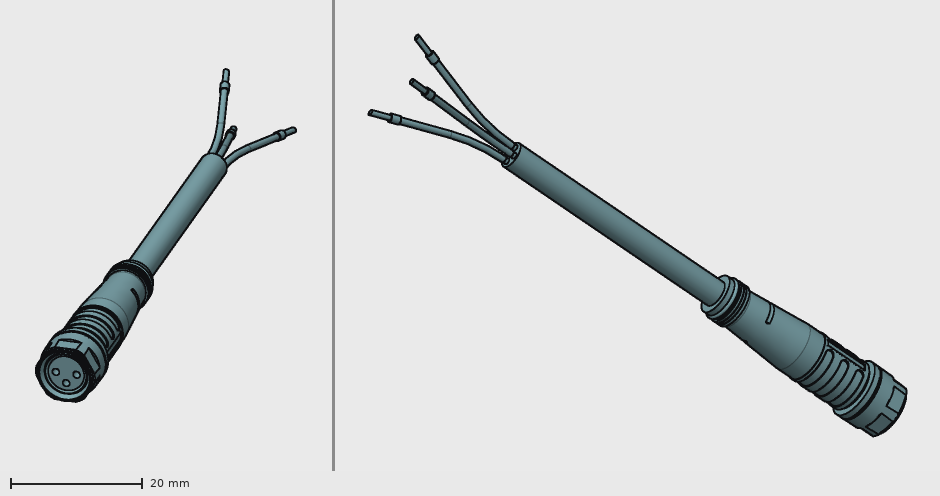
import cadquery as cq
import math

total_length = 100.0

nut_diameter = 9.6
nut_front_diameter = 9.4
nut_length = 6.9
nut_groove_y = 5.5
nut_groove_width = 0.3
nut_groove_diameter = 9.2
lip_diameter = 8.8
lip_length = 0.4
lip_chamfer = 0.2
flat_count = 6
flat_distance = lip_diameter / 2
flat_end = 2.9

mouth_diameter = 8.0
valley_diameter = 6.9
rim_diameter = 6.5
insert_diameter = 5.7
insert_depth = 0.8
rim_depth = 0.6
contact_diameter = 1.1
contact_depth = 2.0
contact_circle_diameter = 3.3
contact_angles = (0, 180, 270)

neck_diameter = 5.7
body_start = 7.1
body_chamfer = 0.4
body_diameter = 8.2
grip_diameter = 8.4
grip_end = 16.4
cone_start = 19.4
cone_end = 30.7
collar_diameter = 6.5
collar_end = 34.9

groove_floor_diameter = 8.0
groove_count = 3
groove_start = 8.3
groove_width = 1.5
groove_pitch = 3.0
groove_end_height = 1.2
pad_height = 1.4
pad_length = groove_width + (groove_count - 1) * groove_pitch

notch_y = 26.6
notch_width = 0.7
notch_depth = 0.12
notch_height = 5.0

band_diameter = 7.2
band_start = 31.2
band_end = 32.8
band_groove_diameter = 6.9
band_groove_width = 0.5
bead_y = 33.5
bead_width = 0.8

jacket_diameter = 4.3
jacket_end = 76.2
core_diameter = 1.0
wire_diameter = 1.1
wire_circle_radius = 1.2
wire_angles = (142, 232, 322)
insulation_start = 76.8
bend_end = 86.8
bend_angle = 17.0
ferrule_diameter = 1.4
ferrule_start = 95.2
ferrule_length = 1.6
tip_diameter = 0.9

margin = 1.0


def revolve(outline):
    """Revolve a closed half-profile, drawn in XY with X as radius, about the Y axis."""
    return outline.close().revolve(360, (0, 0, 0), (0, 1, 0))


def revolve_points(points):
    return revolve(cq.Workplane("XY").polyline(points))


def cylinder(diameter, start, end):
    return cq.Workplane("XZ", origin=(0, start, 0)).circle(diameter / 2).extrude(start - end)


def ring(outer_diameter, inner_diameter, start, end):
    return cylinder(outer_diameter, start, end).cut(cylinder(inner_diameter, start, end))


def turn(shape, angle):
    """Turn a shape about the Y axis so that +X moves towards +Z."""
    return shape.rotate((0, 0, 0), (0, 1, 0), -angle)


def make_nut():
    lip_radius = lip_diameter / 2
    nut = revolve_points([
        (0, 0),
        (lip_radius - lip_chamfer, 0),
        (lip_radius, lip_chamfer),
        (lip_radius, lip_length),
        (nut_front_diameter / 2, lip_length),
        (nut_diameter / 2, nut_groove_y),
        (nut_diameter / 2, nut_length),
        (0, nut_length),
    ])
    nut = nut.cut(ring(
        nut_diameter + margin, nut_groove_diameter, nut_groove_y, nut_groove_y + nut_groove_width
    ))
    flat_cutter = cq.Workplane("XY").box(margin, flat_end, nut_diameter, centered=(False, False, True))
    flat_cutter = flat_cutter.translate((flat_distance, 0, 0))
    for i in range(flat_count):
        nut = nut.cut(turn(flat_cutter, 90 + i * 360 / flat_count))
    return nut


def make_socket():
    socket = revolve_points([
        (0, 0),
        (mouth_diameter / 2, 0),
        (valley_diameter / 2, insert_depth),
        (rim_diameter / 2, rim_depth),
        (insert_diameter / 2, insert_depth),
        (0, insert_depth),
    ])
    contact = cylinder(contact_diameter, 0, insert_depth + contact_depth)
    for angle in contact_angles:
        x = contact_circle_diameter / 2 * math.cos(math.radians(angle))
        z = contact_circle_diameter / 2 * math.sin(math.radians(angle))
        socket = socket.union(contact.translate((x, 0, z)))
    return socket


def make_body():
    body_radius = body_diameter / 2
    grip_radius = grip_diameter / 2
    collar_radius = collar_diameter / 2
    return revolve_points([
        (0, nut_length),
        (neck_diameter / 2, nut_length),
        (neck_diameter / 2, body_start),
        (grip_radius - body_chamfer, body_start),
        (grip_radius, body_start + body_chamfer),
        (grip_radius, grip_end),
        (body_radius, grip_end),
        (body_radius, cone_start),
        (collar_radius, cone_end),
        (collar_radius, collar_end),
        (0, collar_end),
    ])


def make_band():
    middle = (band_start + band_end) / 2
    half_groove = band_groove_width / 2
    groove = ring(band_diameter + margin, band_groove_diameter, middle - half_groove, middle + half_groove)
    return cylinder(band_diameter, band_start, band_end).cut(groove)


def make_bead():
    start = bead_y - bead_width / 2
    end = bead_y + bead_width / 2
    collar_radius = collar_diameter / 2
    outline = (
        cq.Workplane("XY")
        .moveTo(0, start)
        .lineTo(collar_radius, start)
        .threePointArc((band_diameter / 2, bead_y), (collar_radius, end))
        .lineTo(0, end)
    )
    return revolve(outline)


def make_grip_cutter():
    """Round-ended grooves and pad recesses, all down to the groove floor diameter."""
    reach = grip_diameter / 2 + margin
    slot_length = 2 * reach
    slot_middle = groove_end_height + slot_length / 2
    slot_centers = [
        (groove_start + groove_width / 2 + i * groove_pitch, side * slot_middle)
        for i in range(groove_count)
        for side in (1, -1)
    ]
    pads = (
        cq.Workplane("YZ")
        .center(groove_start + pad_length / 2, 0)
        .rect(pad_length, pad_height)
        .extrude(reach, both=True)
    )
    slots = (
        cq.Workplane("YZ")
        .pushPoints(slot_centers)
        .slot2D(slot_length, groove_width, 90)
        .extrude(reach, both=True)
    )
    return slots.union(pads).cut(cylinder(groove_floor_diameter, nut_length, cone_start))


def make_notch_cutter():
    along_cone = (notch_y - cone_start) / (cone_end - cone_start)
    surface_radius = (body_diameter + along_cone * (collar_diameter - body_diameter)) / 2
    arc_radius = notch_width**2 / (8 * notch_depth) + notch_depth / 2
    arc_center = surface_radius - notch_depth + arc_radius
    torus = (
        cq.Workplane("XY")
        .moveTo(arc_center, notch_y)
        .circle(arc_radius)
        .revolve(360, (0, 0, 0), (0, 1, 0))
    )
    sides = cq.Workplane("XY").box(2 * body_diameter, 2 * body_diameter, notch_height)
    return torus.intersect(sides.translate((0, notch_y, 0)))


def make_wire(angle):
    """A wire that leaves the jacket along Y and bends outwards, built in XY and then turned."""
    bend = math.radians(bend_angle)
    bend_radius = (bend_end - insulation_start) / math.sin(bend)

    def bend_point(turned):
        x = wire_circle_radius + bend_radius * (1 - math.cos(turned))
        return (x, insulation_start + bend_radius * math.sin(turned))

    def lead_rod(diameter, start, length):
        """A rod on the straight lead beyond the bend, starting where its axis reaches start."""
        x = bend_point(bend)[0] + (start - bend_end) * math.tan(bend)
        lead = cq.Plane((x, start, 0), xDir=(0, 0, 1), normal=(math.sin(bend), math.cos(bend), 0))
        return cq.Workplane(lead).circle(diameter / 2).extrude(length)

    path = (
        cq.Workplane("XY")
        .moveTo(wire_circle_radius, insulation_start)
        .threePointArc(bend_point(bend / 2), bend_point(bend))
    )
    wire = (
        cq.Workplane("XZ", origin=(wire_circle_radius, insulation_start, 0))
        .circle(wire_diameter / 2)
        .sweep(path)
    )
    core = cylinder(core_diameter, jacket_end - margin, insulation_start)
    wire = wire.union(core.translate((wire_circle_radius, 0, 0)))
    wire = wire.union(lead_rod(wire_diameter, bend_end, (ferrule_start - bend_end) / math.cos(bend)))
    wire = wire.union(lead_rod(ferrule_diameter, ferrule_start, ferrule_length))
    tip = lead_rod(tip_diameter, ferrule_start, total_length - ferrule_start + margin)
    wire = wire.union(tip.intersect(cylinder(total_length, ferrule_start - margin, total_length)))
    return turn(wire, angle)


body = make_body().cut(make_grip_cutter()).cut(make_notch_cutter())
body = body.union(make_band()).union(make_bead())
nut = make_nut().cut(make_socket())
jacket = cylinder(jacket_diameter, collar_end, jacket_end)

result = nut.union(body).union(jacket)
for wire_angle in wire_angles:
    result = result.union(make_wire(wire_angle))